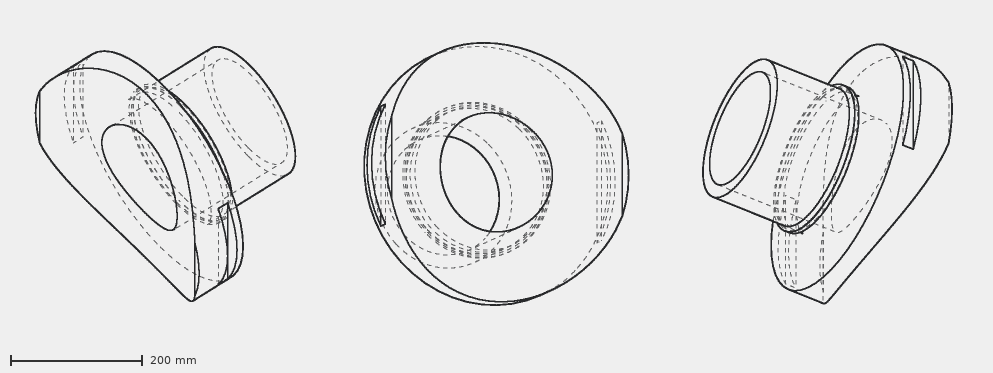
import cadquery as cq

flange_radius = 200.0
flange_depth = 85.5
saddle_rise = 55.0
saddle_half_chord = 189.5
saddle_radius = (saddle_half_chord**2 + saddle_rise**2) / (2 * saddle_rise)

total_depth = 257.0
spigot_radius = 112.5
bore_radius = 92.0
root_fillet = 13.5

ring_half_width = 3.5
ring_crest_radius = 119.5
ring_pair_center = 123.0

slot_width = 18.5
slot_back_land = 12.0
slot_floor_x = 177.0


def disc_along_y(radius, start, end):
    """Cylinder around the Y axis between two Y positions."""
    return cq.Workplane("XZ", origin=(0, start, 0)).circle(radius).extrude(start - end)


def spigot_with_root():
    """Tube body whose foot flares into the flange with a concave fillet."""
    flare_radius = spigot_radius + root_fillet
    tangent_y = flange_depth + root_fillet
    arc_offset = root_fillet * (1 - 0.5**0.5)
    return (
        cq.Workplane("XY")
        .moveTo(0, saddle_rise)
        .lineTo(flare_radius, saddle_rise)
        .lineTo(flare_radius, flange_depth)
        .threePointArc(
            (spigot_radius + arc_offset, flange_depth + arc_offset),
            (spigot_radius, tangent_y),
        )
        .lineTo(spigot_radius, total_depth)
        .lineTo(0, total_depth)
        .close()
        .revolve(360, (0, 0), (0, 1))
    )


def ring(center_y):
    """Flat-sided ring with a semicircular crest, rooted inside the tube wall."""
    root_radius = (bore_radius + spigot_radius) / 2
    crest_start = ring_crest_radius - ring_half_width
    return (
        cq.Workplane("XY")
        .moveTo(root_radius, center_y - ring_half_width)
        .lineTo(crest_start, center_y - ring_half_width)
        .threePointArc(
            (ring_crest_radius, center_y),
            (crest_start, center_y + ring_half_width),
        )
        .lineTo(root_radius, center_y + ring_half_width)
        .close()
        .revolve(360, (0, 0), (0, 1))
    )


def side_slot(side):
    """Slot cutter running the full height on the +X (1) or -X (-1) side."""
    slot_depth = flange_radius - slot_floor_x
    center_x = side * (slot_floor_x + slot_depth / 2)
    center_y = flange_depth - slot_back_land - slot_width / 2
    return cq.Workplane("XY", origin=(center_x, center_y, 0)).box(
        slot_depth, slot_width, 2 * flange_radius
    )


saddle_cutter = (
    cq.Workplane("XY", origin=(0, saddle_rise - saddle_radius, 0))
    .circle(saddle_radius)
    .extrude(flange_radius, both=True)
)

result = disc_along_y(flange_radius, 0, flange_depth).cut(saddle_cutter)
result = result.union(spigot_with_root())
for side in (-1, 1):
    result = result.union(ring(ring_pair_center + side * ring_half_width))
    result = result.cut(side_slot(side))
result = result.cut(disc_along_y(bore_radius, 0, total_depth))